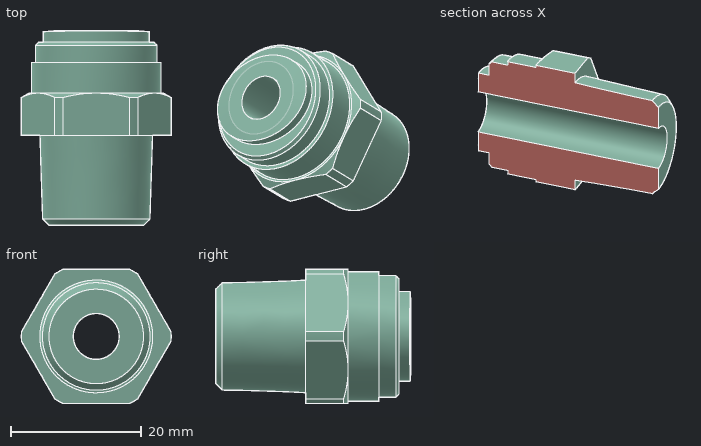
import cadquery as cq
import math


thread_length = 13.8
thread_tip_chamfer = 1.0
thread_tip_radius = 8.25
thread_taper_on_diameter = 1 / 16
thread_taper_length = thread_length - thread_tip_chamfer
thread_root_radius = thread_tip_radius + thread_taper_length * thread_taper_on_diameter / 2

hex_sides = 6
hex_across_flats = 20.6
hex_corner_diameter = 23.0
hex_thickness = 6.5
hex_chamfer_angle = 30.0

body_radius = 9.95
body_length = 4.7
collar_radius = 9.35
collar_length = 3.1
collar_chamfer = 0.5

button_width = 16.3
button_height = 13.8
button_length = 1.8
button_flat_radius = 5.9
button_bevel_depth = 0.2

bore_diameter = 7.0

hex_start = thread_length
hex_end = hex_start + hex_thickness
body_end = hex_end + body_length
collar_end = body_end + collar_length
button_end = collar_end + button_length


def revolve_profile(points):
    """Turn an outline of (radius, y) points around the Y axis."""
    return cq.Workplane("XY").polyline(points).close().revolve(360, (0, 0, 0), (0, 1, 0))


def section_at(y):
    """Workplane across the axis at station y, facing +Y."""
    return cq.Workplane("XZ", origin=(0, y, 0)).transformed(rotate=(180, 0, 0))


def make_thread():
    return revolve_profile([
        (0, 0),
        (thread_tip_radius - thread_tip_chamfer, 0),
        (thread_tip_radius, thread_tip_chamfer),
        (thread_root_radius, hex_start),
        (0, hex_start),
    ])


def make_hexagon():
    """Hexagon with corners on the X axis, cut to a circle and chamfered on its +Y face."""
    across_corners = hex_across_flats / math.cos(math.pi / hex_sides)
    prism = section_at(hex_start).polygon(hex_sides, across_corners).extrude(hex_thickness)
    corner_radius = hex_corner_diameter / 2
    face_radius = hex_across_flats / 2
    chamfer_depth = (corner_radius - face_radius) * math.tan(math.radians(hex_chamfer_angle))
    envelope = revolve_profile([
        (0, hex_start),
        (corner_radius, hex_start),
        (corner_radius, hex_end - chamfer_depth),
        (face_radius, hex_end),
        (0, hex_end),
    ])
    return prism.intersect(envelope)


def make_body():
    return revolve_profile([
        (0, hex_end),
        (body_radius, hex_end),
        (body_radius, body_end),
        (collar_radius, body_end),
        (collar_radius, collar_end - collar_chamfer),
        (collar_radius - collar_chamfer, collar_end),
        (0, collar_end),
    ])


def make_button():
    """Elliptical button whose end slopes gently away from a round flat."""
    oval = section_at(collar_end).ellipse(button_width / 2, button_height / 2).extrude(button_length)
    envelope_radius = button_width / 2
    envelope = revolve_profile([
        (0, collar_end),
        (envelope_radius, collar_end),
        (envelope_radius, button_end - button_bevel_depth),
        (button_flat_radius, button_end),
        (0, button_end),
    ])
    return oval.intersect(envelope)


def make_bore():
    return section_at(0).circle(bore_diameter / 2).extrude(button_end)


solid_fitting = make_thread().union(make_hexagon()).union(make_body()).union(make_button())
result = solid_fitting.cut(make_bore())